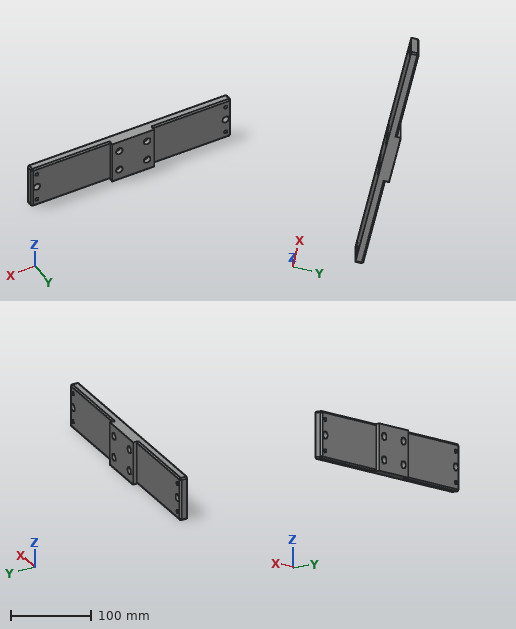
import cadquery as cq

length = 285.0
height = 60.0
plate_thickness = 10.0
total_depth = 15.0
edge_chamfer = 2.0

pad_width = 60.0

mount_diameter = 9.0
counterbore_diameter = 15.0
counterbore_depth = 8.5
mount_spacing_x = 40.0
mount_spacing_z = 30.0

end_spacing_x = 270.0
end_hole_diameter = 9.0
pin_diameter = 4.3
pin_spacing_z = 40.0


def cylinders(points, diameter, depth):
    """Cylinders running from the front face into the part at (X, Z) points."""
    front = cq.Workplane("XZ")
    return front.pushPoints(points).circle(diameter / 2).extrude(-depth)


def grid(spacing_x, spacing_z):
    """Four (X, Z) points centred on the part."""
    return [(i * spacing_x / 2, j * spacing_z / 2) for i in (-1, 1) for j in (-1, 1)]


plate = cq.Workplane("XZ").rect(length, height).extrude(-plate_thickness)
plate = plate.edges("|Y").chamfer(edge_chamfer)
plate = plate.faces(">Y").chamfer(edge_chamfer)

pad = cq.Workplane("XZ").rect(pad_width, height).extrude(-total_depth)
body = plate.union(pad)

mount_points = grid(mount_spacing_x, mount_spacing_z)
body = body.cut(cylinders(mount_points, mount_diameter, total_depth))
body = body.cut(cylinders(mount_points, counterbore_diameter, counterbore_depth))

end_points = [(-end_spacing_x / 2, 0), (end_spacing_x / 2, 0)]
body = body.cut(cylinders(end_points, end_hole_diameter, plate_thickness))
pin_points = grid(end_spacing_x, pin_spacing_z)
body = body.cut(cylinders(pin_points, pin_diameter, plate_thickness))

result = body